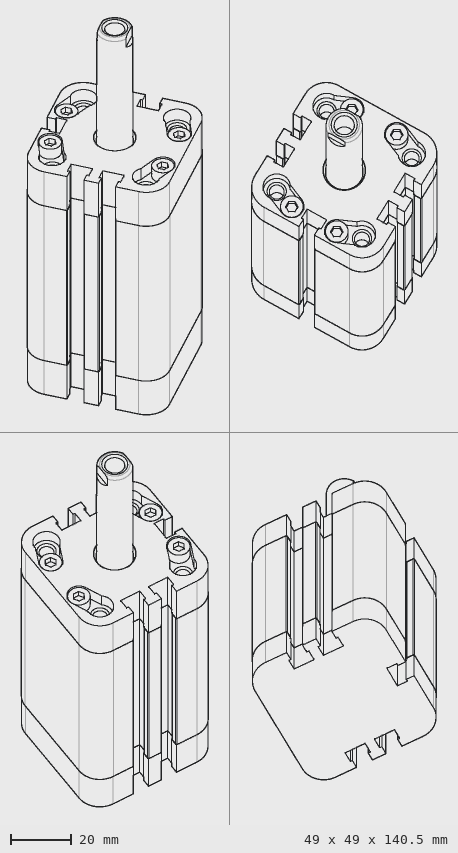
import cadquery as cq
import math

total_height = 140.5
width = 49.0
housing_height = 94.1
cap_height = 14.3
barrel_height = housing_height - 2 * cap_height
front_cap_base = housing_height - cap_height
corner_radius = 8.1
cap_inset = 0.07

slot_offset = 5.5
slot_depth = 6.6
lip_depth = 3.0
channel_width = 7.5
barrel_mouth_width = 5.6
cap_mouth_width = 5.9
lip_chamfer = 0.35

hole_spacing = 32.5
hole_offset = hole_spacing / 2
pocket_depth = 4.6
pocket_hole_end_dia = 9.0
pocket_slot_width = 8.0
mounting_hole_dia = 4.9
mounting_countersink_dia = 6.3
mounting_hole_depth = 8.5

screw_x = 19.5
screw_y = 8.6
head_dia = 7.5
head_recess = 0.4
socket_across_flats = 3.5
socket_depth = 2.1

rod_dia = 12.0
rod_passage_dia = 12.5
wiper_seat_dia = 14.0
wiper_seat_chamfer = 0.1
wiper_seat_depth = 1.4
rod_end_radius = 1.0
flats_width = 10.0
flats_length = 4.4
flats_run_out = 0.8
rod_bore_dia = 6.6
rod_countersink_dia = 8.6
rod_countersink_depth = 0.5
rod_bore_depth = 12.0
drill_point_angle = 118


def cone_cutter(dia, end_dia, height, z, center=(0, 0)):
    """Truncated cone running down from z."""
    return cq.Workplane("XY").add(cq.Solid.makeCone(
        dia / 2, end_dia / 2, height, cq.Vector(*center, z), cq.Vector(0, 0, -1)))


def t_slot_cutter(height, angle, offset, inset, mouth_width, chamfer):
    """T-slot running full height in the side whose outward normal is at `angle`."""
    face = width / 2 - inset
    half_mouth = mouth_width / 2
    half_channel = channel_width / 2
    if chamfer > 0:
        lip = [
            (face - lip_depth, half_mouth + chamfer),
            (face - lip_depth + chamfer, half_mouth),
            (face - chamfer, half_mouth),
            (face, half_mouth + chamfer),
        ]
    else:
        lip = [(face - lip_depth, half_mouth), (face, half_mouth)]
    floor = face - slot_depth
    half_outline = [(floor, half_channel), (face - lip_depth, half_channel)] + lip
    other_half = [(x, -y) for x, y in reversed(half_outline)]
    return (cq.Workplane("XY").center(0, offset)
            .polyline(half_outline + other_half).close().extrude(height)
            .rotate((0, 0, 0), (0, 0, 1), angle))


def profile_block(base, height, mouth_width, inset=0.0, chamfer=0.0):
    """Slotted square section shared by the barrel and both caps."""
    side = width - 2 * inset
    block = (cq.Workplane("XY").rect(side, side).extrude(height)
             .edges("|Z").fillet(corner_radius - inset))
    slots = [(90, slot_offset), (90, -slot_offset),
             (270, slot_offset), (270, -slot_offset), (180, 0)]
    for angle, offset in slots:
        block = block.cut(t_slot_cutter(height, angle, offset, inset, mouth_width, chamfer))
    return block.translate((0, 0, base))


def pocket_cutter():
    """Slot from the mounting hole to the screw, rounded wider around the hole; +X +Y corner."""
    dx = screw_x - hole_offset
    dy = screw_y - hole_offset
    center_distance = math.hypot(dx, dy)
    middle = ((screw_x + hole_offset) / 2, (screw_y + hole_offset) / 2)
    base = cq.Workplane("XY", origin=(0, 0, housing_height - pocket_depth))
    slot = (base.center(*middle)
            .slot2D(center_distance + pocket_slot_width, pocket_slot_width,
                    math.degrees(math.atan2(dy, dx)))
            .extrude(pocket_depth))
    hole_end = (base.center(hole_offset, hole_offset)
                .circle(pocket_hole_end_dia / 2).extrude(pocket_depth))
    return slot.union(hole_end)


def mounting_cutter():
    """Pocket with the countersunk mounting hole in its floor."""
    floor = housing_height - pocket_depth
    hole = (cq.Workplane("XY", origin=(hole_offset, hole_offset, floor))
            .circle(mounting_hole_dia / 2).extrude(-mounting_hole_depth))
    countersink = cone_cutter(mounting_countersink_dia, mounting_hole_dia,
                              (mounting_countersink_dia - mounting_hole_dia) / 2,
                              floor, (hole_offset, hole_offset))
    return pocket_cutter().union(hole).union(countersink)


def screw_head():
    """Socket screw head on the pocket floor, one piece with the cap."""
    return (cq.Workplane("XY", origin=(screw_x, screw_y, housing_height - pocket_depth))
            .circle(head_dia / 2).extrude(pocket_depth - head_recess)
            .faces(">Z").workplane()
            .polygon(6, socket_across_flats / math.cos(math.pi / 6)).cutBlind(-socket_depth))


def in_all_corners(shape):
    """Copies of a +X +Y corner shape, mirrored into the four corners."""
    pair = [shape, shape.mirror("YZ")]
    return pair + [item.mirror("XZ") for item in pair]


def make_front_cap():
    cap = profile_block(front_cap_base, cap_height, cap_mouth_width, inset=cap_inset)
    for cutter in in_all_corners(mounting_cutter()):
        cap = cap.cut(cutter)
    for head in in_all_corners(screw_head()):
        cap = cap.union(head)
    passage = (cq.Workplane("XY", origin=(0, 0, front_cap_base))
               .circle(rod_passage_dia / 2).extrude(cap_height))
    bore_dia = wiper_seat_dia - 2 * wiper_seat_chamfer
    mouth = cone_cutter(wiper_seat_dia, bore_dia, wiper_seat_chamfer, housing_height)
    wiper_seat = cone_cutter(bore_dia, rod_passage_dia, wiper_seat_depth,
                             housing_height - wiper_seat_chamfer)
    return cap.cut(passage).cut(mouth).cut(wiper_seat)


def make_barrel():
    return profile_block(cap_height, barrel_height, barrel_mouth_width, chamfer=lip_chamfer)


def make_rear_cap():
    return profile_block(0, cap_height, cap_mouth_width, inset=cap_inset)


def flat_cutter():
    """Wrench flat on the +X side with a sloping run-out at its lower end."""
    flat_x = flats_width / 2
    flat_base = total_height - flats_length
    rod_radius = rod_dia / 2
    return (cq.Workplane("XZ")
            .moveTo(flat_x, total_height)
            .lineTo(flat_x, flat_base)
            .lineTo(rod_radius, flat_base - flats_run_out)
            .lineTo(rod_radius, total_height)
            .close().extrude(rod_radius, both=True))


def make_piston_rod():
    rod = (cq.Workplane("XY", origin=(0, 0, front_cap_base))
           .circle(rod_dia / 2).extrude(total_height - front_cap_base)
           .faces(">Z").edges().fillet(rod_end_radius))
    flat = flat_cutter()
    rod = rod.cut(flat).cut(flat.mirror("YZ"))
    bore = (cq.Workplane("XY", origin=(0, 0, total_height))
            .circle(rod_bore_dia / 2).extrude(-rod_bore_depth))
    countersink = cone_cutter(rod_countersink_dia, rod_bore_dia,
                              rod_countersink_depth, total_height)
    tip_height = rod_bore_dia / 2 / math.tan(math.radians(drill_point_angle / 2))
    drill_tip = cone_cutter(rod_bore_dia, 0, tip_height, total_height - rod_bore_depth)
    return rod.cut(bore).cut(countersink).cut(drill_tip)


front_cap = make_front_cap()
barrel = make_barrel()
rear_cap = make_rear_cap()
piston_rod = make_piston_rod()

result = cq.Compound.makeCompound([
    front_cap.val(),
    barrel.val(),
    rear_cap.val(),
    piston_rod.val(),
])